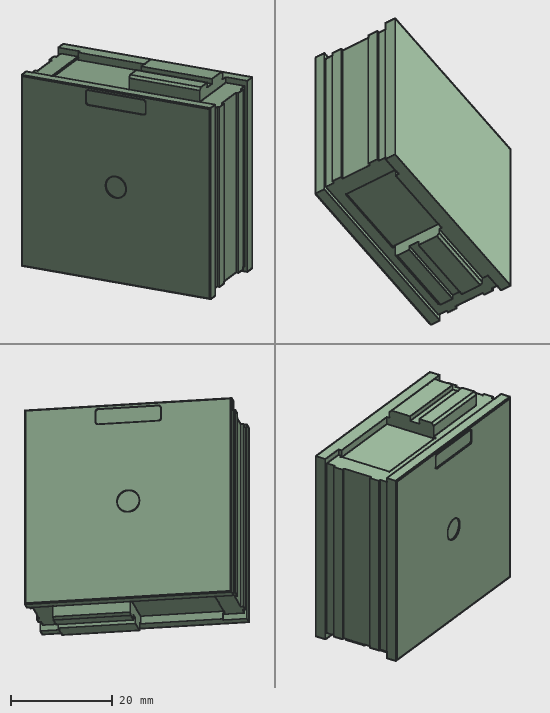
import cadquery as cq

WIDTH = 41.5
DEPTH = 19.0
HEIGHT = 44.0
TAB_RISE = 1.75
PLATE_HEIGHT = HEIGHT - 2 * TAB_RISE

PLATE_THICKNESS = 2.3
CORE_SETBACK_X = 0.55
CORE_SETBACK_Z = 1.2
CORE_WIDTH = WIDTH - 2 * CORE_SETBACK_X
CORE_HEIGHT = PLATE_HEIGHT - 2 * CORE_SETBACK_Z
BACK_PLATE_INNER_Y = DEPTH / 2 - PLATE_THICKNESS

FACE_CHAMFER = 0.2

RIB_WIDTH = 2.1
RIB_OFFSET = 4.25

LEDGE_HALF_WIDTH = 16.0
LEDGE_DEPTH = 0.7
LEDGE_FRONT_Y = BACK_PLATE_INNER_Y - LEDGE_DEPTH

TAB_INNER_X = 0.5
TAB_BACK_Y = 5.95
TAB_FRONT_Y = -4.5
TAB_CHAMFER = 0.55
GROOVE_BACK_Y = 1.05
GROOVE_WIDTH = 2.15
GROOVE_DEPTH = 1.05

POCKET_OUTER_X = -16.4
POCKET_FRONT_Y = -5.0
POCKET_DEPTH = 0.4

RECESS_DEPTH = 0.25
DISC_DIAMETER = 4.5
LABEL_WIDTH = 13.15
LABEL_HEIGHT = 3.15
LABEL_RADIUS = 0.55
LABEL_CENTRE_Z = 17.95


def box_between(x_range, y_range, z_range):
    """Box spanning the given (low, high) limits on each axis."""
    ranges = (x_range, y_range, z_range)
    lengths = [high - low for low, high in ranges]
    corner = tuple(low for low, high in ranges)
    return cq.Workplane("XY").box(*lengths, centered=False).translate(corner)


def plates_and_core():
    half_width = WIDTH / 2
    half_depth = DEPTH / 2
    half_height = PLATE_HEIGHT / 2
    inner_y = BACK_PLATE_INNER_Y
    across = (-half_width, half_width)
    upright = (-half_height, half_height)
    back_plate = box_between(across, (inner_y, half_depth), upright)
    front_plate = box_between(across, (-half_depth, -inner_y), upright)
    front_plate = front_plate.faces("<Y").chamfer(FACE_CHAMFER)
    core = cq.Workplane("XY").box(CORE_WIDTH, 2 * inner_y, CORE_HEIGHT)
    return core.union(back_plate).union(front_plate)


def ribs():
    """Each bar runs through the core and shows as a rib on both sides."""
    return (
        cq.Workplane("XY")
        .pushPoints([(0, -RIB_OFFSET), (0, RIB_OFFSET)])
        .box(WIDTH, RIB_WIDTH, CORE_HEIGHT)
    )


def ledge():
    return box_between(
        (-LEDGE_HALF_WIDTH, LEDGE_HALF_WIDTH),
        (LEDGE_FRONT_Y, BACK_PLATE_INNER_Y),
        (CORE_HEIGHT / 2, PLATE_HEIGHT / 2),
    )


def tab():
    """Grooved tab standing on the core and joined to the ledge."""
    base_z = CORE_HEIGHT / 2
    top_z = HEIGHT / 2
    shoulder_z = top_z - TAB_CHAMFER
    groove_z = top_z - GROOVE_DEPTH
    groove_front_y = GROOVE_BACK_Y - GROOVE_WIDTH
    profile = [
        (TAB_FRONT_Y, base_z),
        (TAB_FRONT_Y, shoulder_z),
        (TAB_FRONT_Y + TAB_CHAMFER, top_z),
        (groove_front_y, top_z),
        (groove_front_y, groove_z),
        (GROOVE_BACK_Y, groove_z),
        (GROOVE_BACK_Y, top_z),
        (TAB_BACK_Y - TAB_CHAMFER, top_z),
        (TAB_BACK_Y, shoulder_z),
        (TAB_BACK_Y, PLATE_HEIGHT / 2),
        (LEDGE_FRONT_Y, PLATE_HEIGHT / 2),
        (LEDGE_FRONT_Y, base_z),
    ]
    return (
        cq.Workplane("YZ", origin=(TAB_INNER_X, 0, 0))
        .polyline(profile)
        .close()
        .extrude(LEDGE_HALF_WIDTH - TAB_INNER_X)
    )


def pocket():
    core_top = CORE_HEIGHT / 2
    return box_between(
        (POCKET_OUTER_X, TAB_INNER_X),
        (POCKET_FRONT_Y, LEDGE_FRONT_Y),
        (core_top - POCKET_DEPTH, core_top),
    )


def front_recesses():
    recess_floor = cq.Workplane("XZ", origin=(0, -DEPTH / 2 + RECESS_DEPTH, 0))
    disc = recess_floor.circle(DISC_DIAMETER / 2).extrude(RECESS_DEPTH)
    label = (
        recess_floor.center(0, LABEL_CENTRE_Z)
        .rect(LABEL_WIDTH, LABEL_HEIGHT)
        .extrude(RECESS_DEPTH)
        .edges("|Y")
        .fillet(LABEL_RADIUS)
    )
    return disc.union(label)


body = plates_and_core().union(ribs())

for turn in (0, 180):
    for raised in (ledge(), tab()):
        body = body.union(raised.rotate((0, 0, 0), (0, 1, 0), turn))
    body = body.cut(pocket().rotate((0, 0, 0), (0, 1, 0), turn))

result = body.cut(front_recesses())